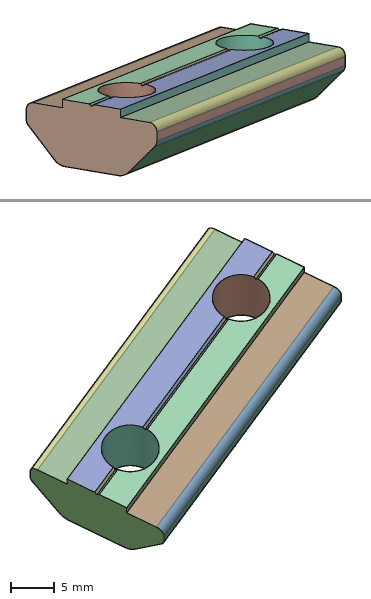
import cadquery as cq

length = 40.0
width = 18.0
height = 8.0

guide_width = 8.0
guide_height = 1.0
shoulder_radius = 1.0
side_bottom_z = 4.5
side_radius = 1.0
base_radius = 2.0
groove_width = 0.6
groove_depth = 0.25

hole_diameter = 6.65
hole_spacing = 25.0

half_width = width / 2
half_guide = guide_width / 2
half_groove = groove_width / 2
half_base = half_width - side_bottom_z
shoulder_z = height - guide_height


def fillet_edges_at(body, x, z, radius):
    """Round the two lengthwise edges at -x and +x on level z."""
    for edge_x in (-x, x):
        edge = cq.selectors.NearestToPointSelector((edge_x, 0, z))
        body = body.edges("|Y").edges(edge).fillet(radius)
    return body


def make_bar():
    """Extrude the T-slot section along Y and round its long edges."""
    bar = (
        cq.Workplane("XZ")
        .moveTo(0, 0)
        .lineTo(half_base, 0)
        .lineTo(half_width, side_bottom_z)
        .lineTo(half_width, shoulder_z)
        .lineTo(half_guide, shoulder_z)
        .lineTo(half_guide, height)
        .lineTo(half_groove, height)
        .lineTo(0, height - groove_depth)
        .mirrorY()
        .extrude(length / 2, both=True)
    )
    bar = fillet_edges_at(bar, half_width, shoulder_z, shoulder_radius)
    bar = fillet_edges_at(bar, half_width, side_bottom_z, side_radius)
    return fillet_edges_at(bar, half_base, 0, base_radius)


def make_holes():
    """Two cylinders on the centre line, running through the full height."""
    return (
        cq.Workplane("XY")
        .pushPoints([(0, -hole_spacing / 2), (0, hole_spacing / 2)])
        .circle(hole_diameter / 2)
        .extrude(height)
    )


result = make_bar().cut(make_holes())